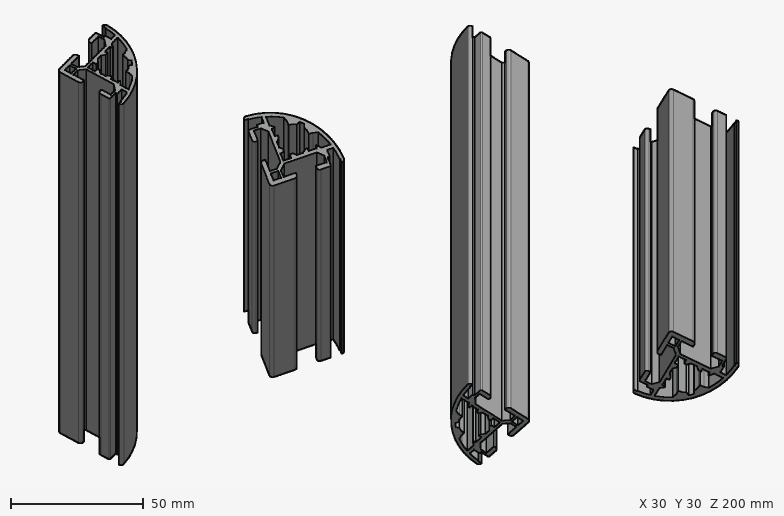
import cadquery as cq
import math

length = 200.0
outer_radius = 30.0
skin = 1.5
diagonal_angle = 45.0

corner_radius = 1.5
lip_radius = 1.2
web_radius = 0.5
tip_radius = 1.2

tip_thickness = 1.5
tip_length = 1.5

lip = 2.0
slot_start = 11.0
slot_end = 19.0
slot_floor = 7.0
slot_chamfer = 2.2
floor_wall = 1.5

cell_far_side = 5.0
cell_wall = 1.0

web_inner = 23.5
web_outer = 24.5
shoulder_height = 3.8
shoulder_outer = 25.2
groove_depth = 6.5

screw_centre = outer_radius / 2
screw_radius = 6.0
rib_height = 1.2
rib_foot_reach = 1.2
rib_inner_reach = 2.5
rib_outer_reach = 3.5
pad_start_angle = 0.0
pad_end_angle = 30.0
pad_shelf_end = 22.5
pad_foot_height = 14.5
notch_width = 2.0

ridge_position = 22.0
ridge_height = 1.2
ridge_width = 0.5
ridge_run = 1.2
floor_step = 0.5

inner_radius = outer_radius - skin
cavity_floor = slot_floor + floor_wall
cell_outer = cell_far_side + cell_wall


def polar(radius, angle, centre=0.0):
    """Point at a radius and an angle in degrees about a centre on the diagonal."""
    turn = math.radians(angle)
    return (centre + radius * math.cos(turn), centre + radius * math.sin(turn))


def on_inner_arc(height):
    """Point of the inner face of the curved wall at the given height."""
    return (math.sqrt(inner_radius**2 - height**2), height)


def add_lines(sketch, points):
    """Continue the outline through the points with straight lines."""
    for point in points:
        sketch = sketch.lineTo(*point)
    return sketch


def add_arc(sketch, start, end, radius):
    """Continue the outline along a circle about the square corner."""
    start_angle = math.degrees(math.atan2(start[1], start[0]))
    end_angle = math.degrees(math.atan2(end[1], end[0]))
    return sketch.threePointArc(polar(radius, (start_angle + end_angle) / 2), end)


def add_slot_side(sketch):
    """Foot, slot, outer lip and web, from the square corner to the groove."""
    return add_lines(
        sketch,
        [
            (slot_start, 0),
            (slot_start, lip),
            (cell_outer, lip),
            (cell_outer, slot_floor - slot_chamfer),
            (cell_outer + slot_chamfer, slot_floor),
            (web_inner - slot_chamfer, slot_floor),
            (web_inner, slot_floor - slot_chamfer),
            (web_inner, lip),
            (slot_end, lip),
            (slot_end, 0),
            (web_outer, 0),
            (web_outer, shoulder_height),
            (shoulder_outer, shoulder_height),
            (shoulder_outer, groove_depth),
        ],
    )


def add_curved_wall(sketch):
    """Groove, tip, outer face up to the diagonal, and the inner face with its pad."""
    groove_end = on_inner_arc(groove_depth)
    tip_inner = outer_radius - tip_thickness
    thin_start = on_inner_arc(tip_length)
    tip_edge = (outer_radius, 0)
    sketch = sketch.lineTo(*groove_end)
    sketch = add_arc(sketch, groove_end, thin_start, inner_radius)
    sketch = add_lines(sketch, [(tip_inner, tip_length), (tip_inner, 0), tip_edge])
    sketch = add_arc(sketch, tip_edge, polar(outer_radius, diagonal_angle), outer_radius)

    notch_end = polar(inner_radius, diagonal_angle)
    notch_shift = notch_width / 2 / math.sqrt(2)
    notch_edge = (notch_end[0] + notch_shift, notch_end[1] - notch_shift)
    pad_middle = polar(screw_radius, (pad_start_angle + pad_end_angle) / 2, screw_centre)
    pad_start = polar(screw_radius, pad_start_angle, screw_centre)
    pad_foot = on_inner_arc(pad_foot_height)
    pad_end = polar(screw_radius, pad_end_angle, screw_centre)
    sketch = add_lines(sketch, [notch_end, notch_edge, pad_end])
    sketch = sketch.threePointArc(pad_middle, pad_start)
    sketch = add_lines(sketch, [(pad_shelf_end, pad_start[1]), pad_foot])
    cavity_end = on_inner_arc(cavity_floor - floor_step)
    return add_arc(sketch, pad_foot, cavity_end, inner_radius)


def add_cavity_floor(sketch):
    """Low outer end, ridge, two ribs facing the screw, and low inner end."""
    low_floor = cavity_floor - floor_step
    ridge_crest = cavity_floor + ridge_height
    ridge_start = ridge_position - ridge_width / 2
    ridge_end = ridge_position + ridge_width / 2
    rib_crest = cavity_floor + rib_height
    far_rib = [
        (screw_centre + rib_outer_reach, cavity_floor),
        (screw_centre + rib_outer_reach, rib_crest),
        (screw_centre + rib_inner_reach, rib_crest),
        (screw_centre + rib_foot_reach, cavity_floor),
    ]
    near_rib = [(2 * screw_centre - x, y) for x, y in reversed(far_rib)]
    near_rib[-1] = (screw_centre - rib_outer_reach, low_floor)
    ridge = [
        (ridge_end + ridge_run, low_floor),
        (ridge_end, ridge_crest),
        (ridge_start, ridge_crest),
        (ridge_start, cavity_floor),
    ]
    return add_lines(sketch, ridge + far_rib + near_rib + [(low_floor, low_floor)])


def half_profile():
    """Section on one side of the diagonal through the square corner."""
    sketch = cq.Workplane("XY").moveTo(0, 0)
    sketch = add_slot_side(sketch)
    sketch = add_curved_wall(sketch)
    sketch = add_cavity_floor(sketch)
    cell_half = [(cell_far_side, cell_far_side), (cell_far_side, lip), (lip, lip)]
    return add_lines(sketch, cell_half).close()


def round_edge(solid, x, y, radius):
    """Round the lengthwise edge at the given place in the section."""
    edge = cq.selectors.NearestToPointSelector((x, y, length / 2))
    return solid.edges("|Z").edges(edge).fillet(radius)


half = half_profile().extrude(length)
half = round_edge(half, slot_start, 0, lip_radius)
half = round_edge(half, slot_end, 0, lip_radius)
half = round_edge(half, web_outer, 0, web_radius)
half = round_edge(half, outer_radius, 0, tip_radius)

result = half.union(half.mirror(cq.Vector(1, -1, 0))).clean()
result = round_edge(result, 0, 0, corner_radius)